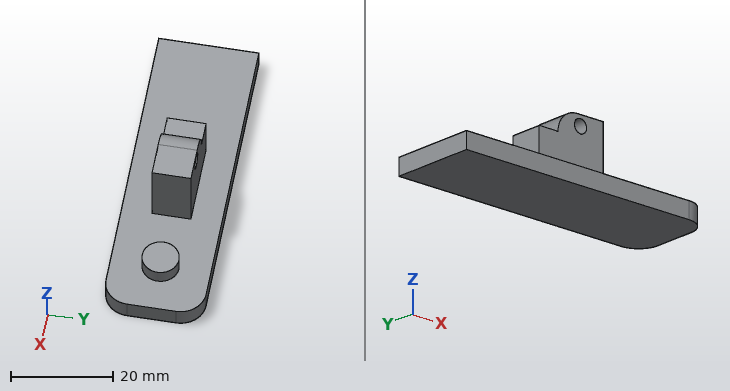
import cadquery as cq

plate_length = 63.5
plate_width = 19.95
plate_thickness = 4.0
corner_radius = 5.1

lug_start = 24.5
lug_length = 16.8
lug_width = 7.75
lug_top = 18.0
shoulder_start = 29.45
shoulder_radius = 5.0
lug_end = lug_start + lug_length
step_top = lug_top - shoulder_radius

hole_diameter = 3.2
hole_x = 35.4
hole_z = 15.5

pin_diameter = 7.3
pin_height = 3.05
pin_x = 53.4


def make_plate():
    """Flat plate with its two right-hand corners rounded."""
    plate = cq.Workplane("XY").box(
        plate_length, plate_width, plate_thickness, centered=(False, True, False)
    )
    return plate.edges("|Z and >X").fillet(corner_radius)


def make_lug():
    """Stepped profile extruded across the plate, pierced by the cross hole."""
    shoulder_end = shoulder_start + shoulder_radius
    lug = (
        cq.Workplane("XZ")
        .moveTo(lug_start, plate_thickness)
        .lineTo(lug_start, step_top)
        .lineTo(shoulder_start, step_top)
        .radiusArc((shoulder_end, lug_top), shoulder_radius)
        .lineTo(lug_end, lug_top)
        .lineTo(lug_end, plate_thickness)
        .close()
        .extrude(lug_width / 2, both=True)
    )
    hole = (
        cq.Workplane("XZ")
        .center(hole_x, hole_z)
        .circle(hole_diameter / 2)
        .extrude(lug_width, both=True)
    )
    return lug.cut(hole)


def make_pin():
    """Short cylinder standing on the plate."""
    return (
        cq.Workplane("XY", origin=(pin_x, 0, plate_thickness))
        .circle(pin_diameter / 2)
        .extrude(pin_height)
    )


result = make_plate().union(make_lug()).union(make_pin())